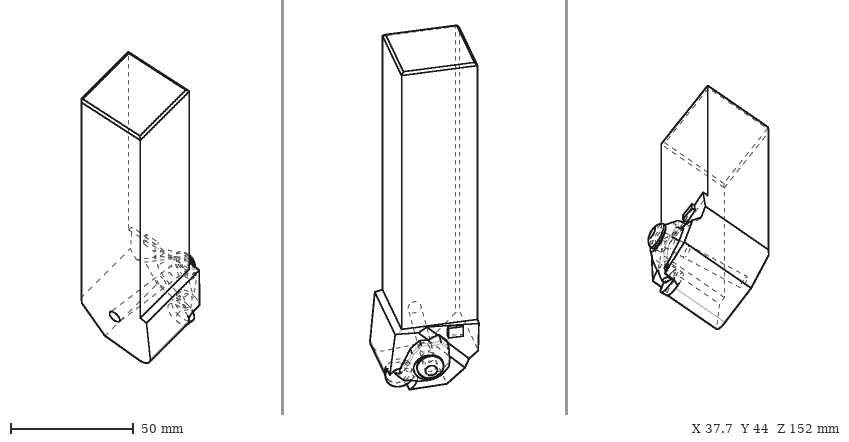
import cadquery as cq
import math

LENGTH = 152.0
OVERALL_DEPTH = 44.0

SHANK = 31.9
EDGE_CHAMFER = 1.4
END_CHAMFER = 1.0

INSERT_DIAMETER = 12.0
INSERT_REACH = 37.7
INSERT_SEAT = 25.1
INSERT_TOP = 28.0
INSERT_RELIEF = 7.0

NOSE_RADIUS = 5.5
SIDE_RELIEF = 5.0
SHOULDER_HEIGHT = 29.8
SHOULDER_SLOPE = 12.0
HEAD_STOCK = 38.0
BEVEL_TOP = 15.7
BEVEL_END_X = 13.4

STOP_LEFT, STOP_RIGHT = 6.7, 12.9
STOP_BOTTOM, STOP_TOP = 24.6, 29.2
STOP_BASE, STOP_FACE = 30.4, 35.0

HOLE_X, HOLE_Z = 18.5, 19.5
HOLE_DIAMETER = 5.3
AXIS_TILT = 7.0
CLAMP_HEADING = 45.0

LEDGE_LEVEL = 31.6
PAD_LEVEL = 34.7
SCREW_END = 27.4
CLAMP_TOP = 40.7

HEEL_END = -9.5
HEEL_HALF_WIDTH = 2.5
WALL_FOOT = -9.1
PLATE_HALF_WIDTH = 8.7
PLATE_START, PLATE_END = -3.6, 1.5
FINGER_START, FINGER_END = 10.3, 15.5
FINGER_HALF_WIDTH = 2.9

CONE_TOP_RADIUS = 6.1
CONE_OFFSET = 0.9
RIM_FILLET = 1.5

HEAD_RADIUS = 5.5
COLLAR_HEIGHT = 0.9
CROWN_RADIUS = 2.5
DOME_BULGE = 0.3

MARGIN = 45.6

insert_radius = INSERT_DIAMETER / 2
insert_x = INSERT_REACH - insert_radius
insert_z = insert_radius

tilt = math.radians(AXIS_TILT)
heading = math.radians(CLAMP_HEADING)
wall_top = WALL_FOOT + PAD_LEVEL - LEDGE_LEVEL
screw_top = (OVERALL_DEPTH - CROWN_RADIUS * math.sin(tilt)) / math.cos(tilt)

clamp_plane = cq.Plane(
    origin=(HOLE_X, 0, HOLE_Z),
    xDir=(
        math.cos(tilt) * math.cos(heading),
        -math.sin(tilt),
        -math.cos(tilt) * math.sin(heading),
    ),
    normal=(
        math.sin(tilt) * math.cos(heading),
        math.cos(tilt),
        -math.sin(tilt) * math.sin(heading),
    ),
)


def place_on_clamp_axis(body):
    """Move a body built around the Z axis onto the clamping axis."""
    return cq.Workplane(body.val().moved(cq.Location(clamp_plane)))


def insert_cone(start, end):
    """Round plug with the insert's tapered wall, between two Y values."""
    taper = math.tan(math.radians(INSERT_RELIEF))
    start_radius = insert_radius - (INSERT_TOP - start) * taper
    end_radius = insert_radius - (INSERT_TOP - end) * taper
    base = cq.Vector(insert_x, start, insert_z)
    return cq.Workplane(cq.Solid.makeCone(start_radius, end_radius, end - start, base, cq.Vector(0, 1, 0)))


def make_shank():
    shank = cq.Workplane("XY").box(SHANK, SHANK, LENGTH - BEVEL_TOP, centered=False)
    shank = shank.translate((0, 0, BEVEL_TOP))
    return shank.faces(">Z").chamfer(END_CHAMFER)


def make_head_blank():
    lean = math.radians(SIDE_RELIEF)
    side_x = insert_x + NOSE_RADIUS * math.cos(lean)
    side_z = insert_z + NOSE_RADIUS * math.sin(lean)
    low_x = insert_x - NOSE_RADIUS * math.sin(lean)
    low_z = insert_z - NOSE_RADIUS * math.cos(lean)
    corner_mid = NOSE_RADIUS / math.sqrt(2)

    shoulder_fall = math.tan(math.radians(SHOULDER_SLOPE))
    side_run = math.tan(lean)
    side_at_shoulder = side_x - (SHOULDER_HEIGHT - side_z) * side_run
    shoulder_x = SHANK + (side_at_shoulder - SHANK) / (1 - shoulder_fall * side_run)
    shoulder_z = SHOULDER_HEIGHT - (shoulder_x - SHANK) * shoulder_fall
    bevel_end_z = low_z + (low_x - BEVEL_END_X) * side_run

    outline = (
        cq.Workplane("XZ")
        .moveTo(0, SHOULDER_HEIGHT)
        .lineTo(SHANK, SHOULDER_HEIGHT)
        .lineTo(shoulder_x, shoulder_z)
        .lineTo(side_x, side_z)
        .threePointArc((insert_x + corner_mid, insert_z - corner_mid), (low_x, low_z))
        .lineTo(BEVEL_END_X, bevel_end_z)
        .lineTo(0, BEVEL_TOP)
        .close()
    )
    return outline.extrude(-HEAD_STOCK)


def back_shoulder_cut():
    """Wedge that slopes the top of the head behind the shank."""
    fall = MARGIN * math.tan(math.radians(SHOULDER_SLOPE))
    wedge = cq.Workplane("YZ").polyline([
        (SHANK, SHOULDER_HEIGHT),
        (SHANK + MARGIN, SHOULDER_HEIGHT),
        (SHANK + MARGIN, SHOULDER_HEIGHT - fall),
    ])
    return wedge.close().extrude(MARGIN)


def clamp_face_cut():
    """Space over the tilted ledge, the 45 degree wall and the pad."""
    profile = cq.Workplane("XZ").polyline([
        (-MARGIN, LEDGE_LEVEL),
        (WALL_FOOT, LEDGE_LEVEL),
        (wall_top, PAD_LEVEL),
        (MARGIN, PAD_LEVEL),
        (MARGIN, PAD_LEVEL + MARGIN),
        (-MARGIN, PAD_LEVEL + MARGIN),
    ])
    return place_on_clamp_axis(profile.close().extrude(MARGIN, both=True))


def insert_pocket():
    clearance = cq.Solid.makeCylinder(
        insert_radius, MARGIN, cq.Vector(insert_x, INSERT_TOP, insert_z), cq.Vector(0, 1, 0)
    )
    return insert_cone(INSERT_SEAT, INSERT_TOP).union(cq.Workplane(clearance))


def stop_block():
    block = cq.Workplane("XY").box(
        STOP_RIGHT - STOP_LEFT, STOP_FACE - STOP_BASE, STOP_TOP - STOP_BOTTOM, centered=False
    )
    return block.translate((STOP_LEFT, STOP_BASE, STOP_BOTTOM))


def long_edge_cut():
    """Triangular prism along the edge between the -X and -Y faces."""
    corner = cq.Workplane("XY").polyline([(0, 0), (EDGE_CHAMFER, 0), (0, EDGE_CHAMFER)])
    return corner.close().extrude(LENGTH)


def screw_hole():
    drill = cq.Workplane("XY").circle(HOLE_DIAMETER / 2).extrude(MARGIN, both=True)
    return place_on_clamp_axis(drill)


def make_holder():
    head = make_head_blank().cut(clamp_face_cut()).cut(back_shoulder_cut())
    holder = make_shank().union(head).union(stop_block())
    return holder.cut(long_edge_cut()).cut(insert_pocket()).cut(screw_hole())


def make_insert():
    return insert_cone(INSERT_SEAT, INSERT_TOP)


def clamp_plate():
    """Faceted plate whose heel steps down over the 45 degree wall."""
    half_plan = [
        (HEEL_END, HEEL_HALF_WIDTH),
        (PLATE_START, PLATE_HALF_WIDTH),
        (PLATE_END, PLATE_HALF_WIDTH),
        (FINGER_END, FINGER_HALF_WIDTH),
    ]
    mirrored = [(along, -across) for along, across in reversed(half_plan)]
    plan = cq.Workplane("XY").polyline(half_plan + mirrored).close().extrude(CLAMP_TOP)
    return place_on_clamp_axis(plan).intersect(clamp_face_cut())


def clamp_finger():
    """Block that reaches down from the plate to the top of the insert."""
    finger = cq.Workplane("XY").box(
        FINGER_END - FINGER_START, 2 * FINGER_HALF_WIDTH, CLAMP_TOP, centered=(False, True, False)
    )
    finger = place_on_clamp_axis(finger.translate((FINGER_START, 0, 0)))
    below_insert_top = cq.Workplane("XY").box(2 * MARGIN, 2 * MARGIN, 2 * MARGIN)
    below_insert_top = below_insert_top.translate((insert_x, INSERT_TOP - MARGIN, insert_z))
    return finger.cut(below_insert_top)


def clamp_cone():
    """45 degree cone that bounds the top of the clamp."""
    cone = cq.Solid.makeCone(CONE_TOP_RADIUS + CLAMP_TOP, CONE_TOP_RADIUS, CLAMP_TOP)
    return place_on_clamp_axis(cq.Workplane(cone).translate((CONE_OFFSET, 0, 0)))


def make_clamp():
    plate = clamp_plate().intersect(clamp_cone())
    plate = plate.edges("%HYPERBOLA").fillet(RIM_FILLET)
    finger = clamp_finger().intersect(clamp_cone())
    return plate.union(finger).cut(screw_hole())


def make_screw():
    collar_top = CLAMP_TOP + COLLAR_HEIGHT
    flank_mid = ((HEAD_RADIUS + CROWN_RADIUS) / 2 + DOME_BULGE, (collar_top + screw_top) / 2 + DOME_BULGE)
    profile = (
        cq.Workplane("XZ")
        .moveTo(0, SCREW_END)
        .lineTo(HOLE_DIAMETER / 2, SCREW_END)
        .lineTo(HOLE_DIAMETER / 2, CLAMP_TOP)
        .lineTo(HEAD_RADIUS, CLAMP_TOP)
        .lineTo(HEAD_RADIUS, collar_top)
        .threePointArc(flank_mid, (CROWN_RADIUS, screw_top))
        .lineTo(0, screw_top)
        .close()
    )
    return place_on_clamp_axis(profile.revolve(360, (0, 0, 0), (0, 1, 0)))


holder = make_holder()
insert = make_insert()
clamp = make_clamp()
screw = make_screw()

bodies = [holder, insert, clamp, screw]
result = cq.Compound.makeCompound([body.solids().val() for body in bodies])